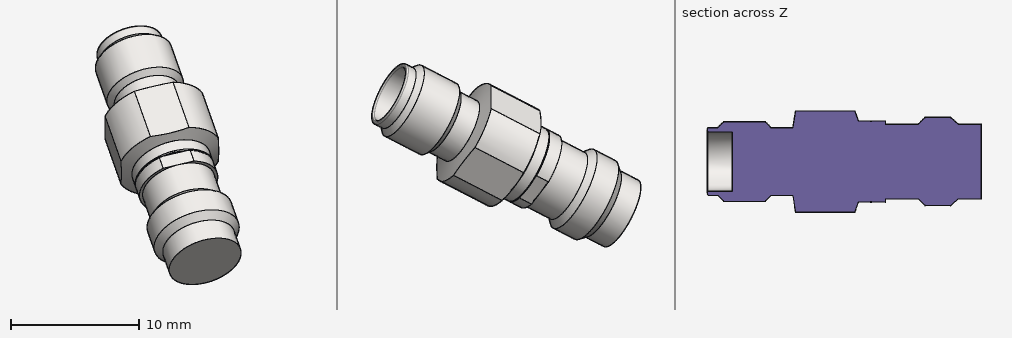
import cadquery as cq
length = 21.35
nut_across_flats = 7.9

tip_end = 0.81
thread_start = 1.28
thread_end = 4.53
neck_start = 4.97
nut_start = 6.66
nut_left_rim = 6.92
nut_right_rim = 11.4
nut_end = 11.79
collar_end = 12.79
flat_ring_end = 13.9
bump_start = 16.45
bump_rise_end = 16.97
bump_fall_start = 18.95
bump_end = 19.55

tip_radius = 2.65
thread_radius = 3.12
nut_corner_radius = 4.25
collar_radius = 3.18
barrel_radius = 2.92
bump_radius = 3.45

tip_fillet = 0.1
collar_chamfer = 0.09

socket_radius = 2.3
socket_depth = 1.95


def turned_body():
    """Solid of revolution that carries every outer diameter."""
    outline = [
        (0, 0),
        (0, tip_radius),
        (tip_end, tip_radius),
        (thread_start, thread_radius),
        (thread_end, thread_radius),
        (neck_start, tip_radius),
        (nut_start, tip_radius),
        (nut_left_rim, nut_corner_radius),
        (nut_right_rim, nut_corner_radius),
        (nut_end, collar_radius),
        (collar_end - collar_chamfer, collar_radius),
        (collar_end, collar_radius - collar_chamfer),
        (collar_end, collar_radius),
        (flat_ring_end, collar_radius),
        (flat_ring_end, barrel_radius),
        (bump_start, barrel_radius),
        (bump_rise_end, bump_radius),
        (bump_fall_start, bump_radius),
        (bump_end, barrel_radius),
        (length, barrel_radius),
        (length, 0),
    ]
    return cq.Workplane("XY").polyline(outline).close().revolve(360, (0, 0, 0), (1, 0, 0))


def span_block(start, end, width, height):
    """Block centred on the axis that fills X from start to end."""
    block = cq.Workplane("XY").box(end - start, width, height, centered=(False, True, True))
    return block.translate((start, 0, 0))


def outside_of(start, end, width, height):
    """Material to remove around a width by height section between two stations."""
    clearance = 4 * nut_corner_radius
    stock = span_block(start, end, clearance, clearance)
    return stock.cut(span_block(start, end, width, height))


def nut_flats():
    """Four flats on the nut, facing +Y, -Y, +Z and -Z."""
    return outside_of(nut_start, nut_end, nut_across_flats, nut_across_flats)


def ring_flats():
    """Two flats on the ring, facing +Z and -Z, level with the barrel."""
    return outside_of(collar_end, flat_ring_end, 2 * collar_radius, 2 * barrel_radius)


def socket():
    """Blind socket opening at the thin end."""
    return cq.Workplane("YZ").circle(socket_radius).extrude(socket_depth)


body = turned_body().cut(nut_flats()).cut(ring_flats()).cut(socket())

result = body.faces("<X").edges().fillet(tip_fillet)